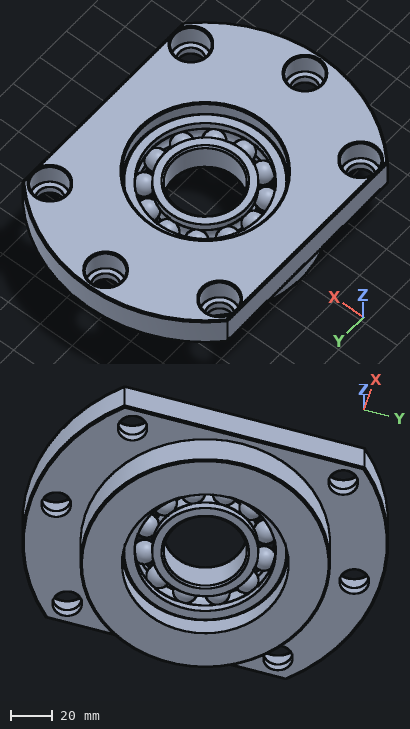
import cadquery as cq
import math

flange_diameter = 176.0
flange_width = 128.0
boss_diameter = 120.0
housing_height = 36.0
flange_thickness = housing_height / 2
edge_chamfer = 0.7

bolt_circle_diameter = 150.0
bolt_hole_diameter = 14.0
counterbore_diameter = 20.0
counterbore_depth = 13.0
bolt_angles = [45, 90, 135, 225, 270, 315]

bearing_outer_diameter = 80.0
bearing_bore_diameter = 40.0
bearing_width = 18.0
bearing_depth = 8.0
ring_chamfer = 1.0
outer_shoulder_diameter = 68.0
inner_shoulder_diameter = 51.0
ball_diameter = 12.0
ball_count = 12
ball_start_angle = 1.5
ball_embedding = 0.09

bearing_top = housing_height - bearing_depth
bearing_bottom = bearing_top - bearing_width
ball_plane = bearing_bottom + bearing_width / 2
ball_path_radius = (outer_shoulder_diameter + inner_shoulder_diameter) / 4


def make_flange():
    """Round plate with two flats, chamfered along both rims."""
    disc = cq.Workplane("XY").circle(flange_diameter / 2).extrude(flange_thickness)
    strip = cq.Workplane("XY").rect(flange_width, flange_diameter).extrude(flange_thickness)
    plate = disc.intersect(strip).faces("<Z or >Z").chamfer(edge_chamfer)
    return plate.translate((0, 0, housing_height - flange_thickness))


def make_boss():
    """Round spigot under the flange."""
    boss = cq.Workplane("XY").circle(boss_diameter / 2).extrude(housing_height - flange_thickness)
    return boss.faces("<Z").chamfer(edge_chamfer)


def cylinder_with_flare(diameter, bottom, top):
    """Cutter for a hole from bottom to top with a chamfered upper rim."""
    radius = diameter / 2
    return (
        cq.Workplane("XZ")
        .moveTo(0, bottom)
        .lineTo(radius, bottom)
        .lineTo(radius, top - edge_chamfer)
        .lineTo(radius + edge_chamfer, top)
        .lineTo(0, top)
        .close()
        .revolve(360, (0, 0, 0), (0, 1, 0))
    )


def make_bolt_hole(angle):
    """Cutter for one counterbored bolt hole."""
    counterbore = cylinder_with_flare(
        counterbore_diameter, housing_height - counterbore_depth, housing_height
    )
    through_hole = cq.Workplane("XY").circle(bolt_hole_diameter / 2).extrude(housing_height)
    x = bolt_circle_diameter / 2 * math.cos(math.radians(angle))
    y = bolt_circle_diameter / 2 * math.sin(math.radians(angle))
    return counterbore.union(through_hole).translate((x, y, 0))


def make_housing():
    """Flanged housing with a straight bearing bore and six bolt holes."""
    housing = make_flange().union(make_boss())
    housing = housing.cut(cylinder_with_flare(bearing_outer_diameter, 0, housing_height))
    for angle in bolt_angles:
        housing = housing.cut(make_bolt_hole(angle))
    return housing


def make_ring(inner_diameter, outer_diameter):
    """Plain bearing ring."""
    return (
        cq.Workplane("XY", origin=(0, 0, bearing_bottom))
        .circle(outer_diameter / 2)
        .circle(inner_diameter / 2)
        .extrude(bearing_width)
    )


def make_raceway():
    """Cutter for the grooves; a little smaller than the balls, so that these seat into the rings."""
    groove_radius = ball_diameter / 2 - ball_embedding
    return cq.Workplane("XY").add(
        cq.Solid.makeTorus(ball_path_radius, groove_radius, cq.Vector(0, 0, ball_plane))
    )


def make_ball(angle):
    """One ball on the ball path."""
    x = ball_path_radius * math.cos(math.radians(angle))
    y = ball_path_radius * math.sin(math.radians(angle))
    return cq.Workplane("XY", origin=(x, y, ball_plane)).sphere(ball_diameter / 2)


def make_bearing():
    """Inner and outer ring joined into one solid by the balls."""
    smallest_rims = cq.selectors.RadiusNthSelector(0)
    largest_rims = cq.selectors.RadiusNthSelector(-1)
    outer_ring = make_ring(outer_shoulder_diameter, bearing_outer_diameter)
    outer_ring = outer_ring.edges(largest_rims).chamfer(ring_chamfer)
    inner_ring = make_ring(bearing_bore_diameter, inner_shoulder_diameter)
    inner_ring = inner_ring.edges(smallest_rims).chamfer(ring_chamfer)
    raceway = make_raceway()
    bearing = outer_ring.cut(raceway).union(inner_ring.cut(raceway))
    for index in range(ball_count):
        bearing = bearing.union(make_ball(ball_start_angle + index * 360 / ball_count))
    return bearing


housing = make_housing()
bearing = make_bearing()
result = cq.Compound.makeCompound([housing.solids().val(), bearing.solids().val()])